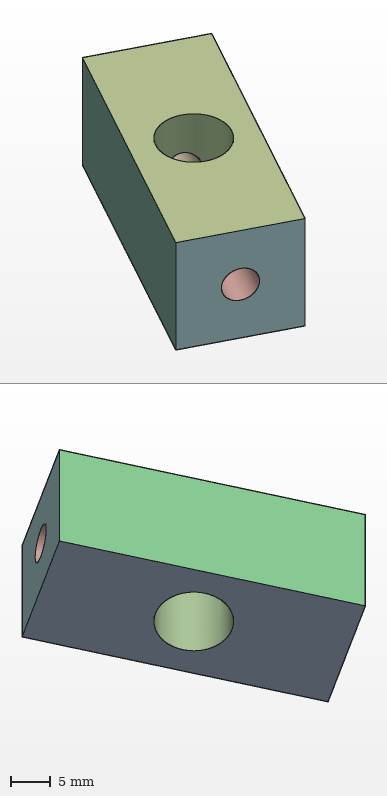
import cadquery as cq

block_length = 40.0
block_side = 17.0
cross_hole_diameter = 10.0
axial_hole_diameter = 5.0


def make_block():
    """Square bar along X, centred on the origin."""
    return cq.Workplane("XY").box(block_length, block_side, block_side)


def through_cylinder(plane, diameter, length):
    """Cylinder centred on the origin, running normal to the given plane."""
    return cq.Workplane(plane).circle(diameter / 2).extrude(length / 2, both=True)


cross_hole = through_cylinder("XY", cross_hole_diameter, block_side)
axial_hole = through_cylinder("YZ", axial_hole_diameter, block_length)

result = make_block().cut(cross_hole).cut(axial_hole)